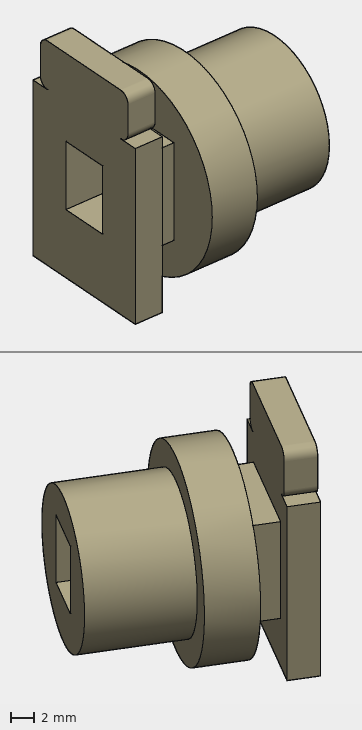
import cadquery as cq

total_height = 23.0
flange_diameter = 20.0
barrel_diameter = 15.0
barrel_length = 10.0
flange_length = 5.0
neck_width = 9.5
neck_height = 10.0
neck_length = 3.1
plate_width = 14.0
plate_height = 18.0
plate_thickness = 3.0
tab_width = 12.0
tab_corner_radius = 1.0
window_width = 5.0
window_height = 7.0
window_bottom = 7.0

axis_height = flange_diameter / 2
tab_height = total_height - plate_height
neck_start = plate_thickness
flange_start = neck_start + neck_length
barrel_start = flange_start + flange_length
total_length = barrel_start + barrel_length


def block(width, height, length, start, bottom):
    """Box centred on X, running towards +Y from start."""
    base = cq.Workplane("XY", origin=(0, start, bottom))
    return base.box(width, length, height, centered=(True, False, False))


def cylinder(diameter, length, start):
    """Round section on the main axis, running towards +Y from start."""
    base = cq.Workplane("XZ", origin=(0, start, axis_height))
    return base.circle(diameter / 2).extrude(-length)


plate = block(plate_width, plate_height, plate_thickness, 0, 0)
tab = block(tab_width, tab_height, plate_thickness, 0, plate_height)
tab = tab.edges("|Y").fillet(tab_corner_radius)

neck = block(neck_width, neck_height, neck_length, neck_start, axis_height - neck_height / 2)
flange = cylinder(flange_diameter, flange_length, flange_start)
barrel = cylinder(barrel_diameter, barrel_length, barrel_start)

window = block(window_width, window_height, total_length, 0, window_bottom)

result = plate.union(tab).union(neck).union(flange).union(barrel).cut(window)